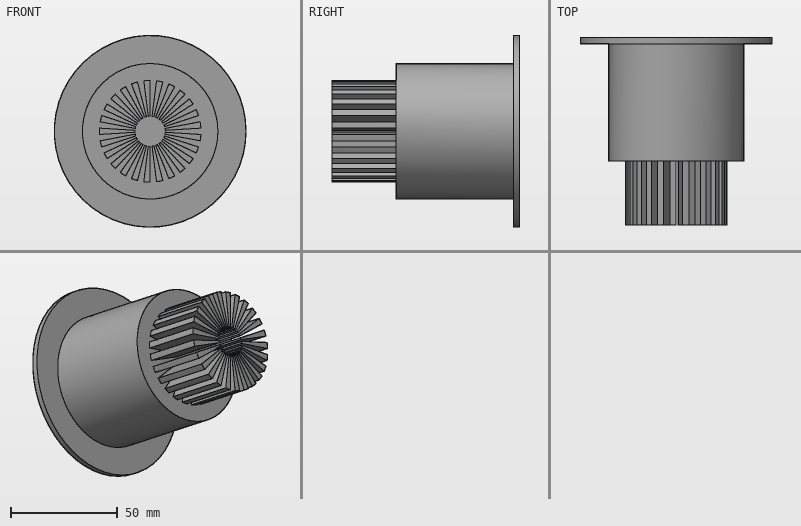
import cadquery as cq
import math

flange_diameter = 90.0
flange_thickness = 3.0
body_diameter = 63.5
body_length = 55.0
fin_length = 30.1

fin_outer_radius = 23.85
fin_inner_radius = 7.1
fin_count = 25
fin_pitch = 360.0 / fin_count
fin_angle = fin_pitch / 2
first_fin_direction = 180.0


def disc(diameter, front_y, length):
    """Solid cylinder running from front_y toward +Y."""
    return cq.Workplane("XZ", origin=(0, front_y, 0)).circle(diameter / 2).extrude(-length)


def polar_point(radius, degrees):
    angle = math.radians(degrees)
    return (radius * math.cos(angle), radius * math.sin(angle))


def fin(center_direction):
    """Wedge-shaped fin, with arcs at both ends, reaching forward from the body face at Y = 0."""
    start = center_direction - fin_angle / 2
    end = center_direction + fin_angle / 2
    return (
        cq.Workplane("XZ")
        .moveTo(*polar_point(fin_inner_radius, start))
        .lineTo(*polar_point(fin_outer_radius, start))
        .threePointArc(polar_point(fin_outer_radius, center_direction), polar_point(fin_outer_radius, end))
        .lineTo(*polar_point(fin_inner_radius, end))
        .threePointArc(polar_point(fin_inner_radius, center_direction), polar_point(fin_inner_radius, start))
        .close()
        .extrude(fin_length)
    )


body = disc(body_diameter, 0, body_length)
flange = disc(flange_diameter, body_length, flange_thickness)

result = body.union(flange)
for index in range(fin_count):
    result = result.union(fin(first_fin_direction + index * fin_pitch))